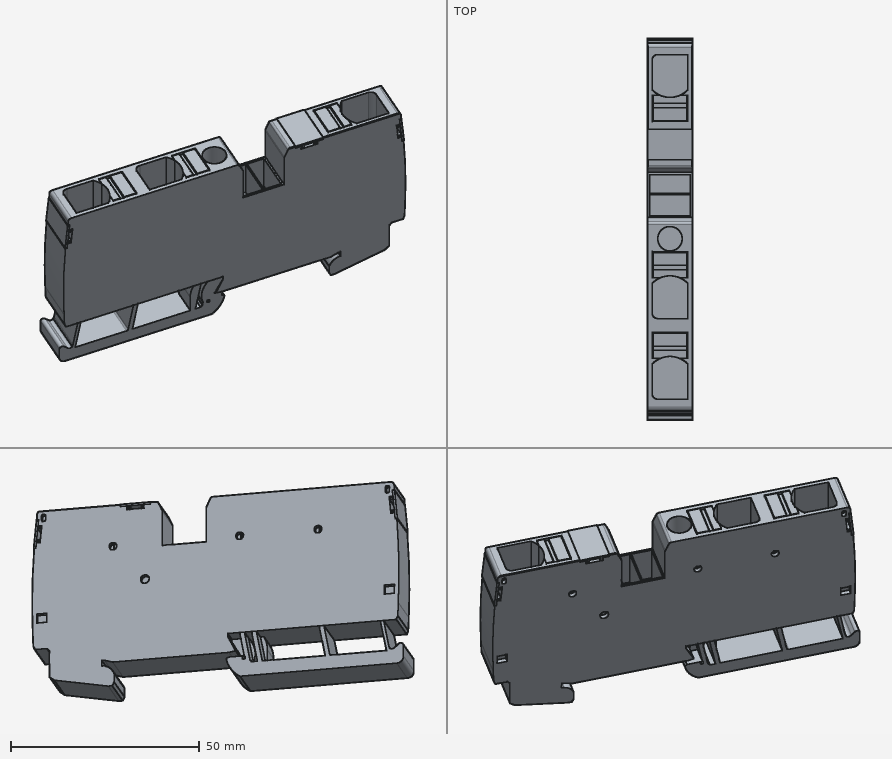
import cadquery as cq
import math


width = 12.0
side_x = -width / 2
height = 51.5
half_length = 50.1
foot_tip_y = half_length - 101.5

deck_z = 12.4
rail_z = 7.0
end_bulge_z = 25.4
end_radius = 217.2
end_low_z = 17.0
end_high_z = 49.4
corner_radius = 1.0
notch_rear_y = 14.5
notch_front_y = 2.5
notch_z = 38.9
shoulder_drop = 2.8
shoulder_run = 1.3
shoulder_radius = 0.8
rear_edge_chamfer = 0.2
nose_root = (-3.3, 11.6)
nose_tip = (-5.5, 7.3)
nose_base = (-3.7, rail_z)

station_pitch = 21.4
stations = [(1, 0), (-1, 0), (-1, station_pitch)]
entry_outer = 45.8
entry_shoulder = 36.4
entry_inner = 34.4
entry_half_width = 4.8
entry_corner = 1.5
entry_depth = 20.3
pusher_pocket_outer = 28.0
pusher_pocket_inner = 34.9
pusher_pocket_half_width = 4.7
pusher_gap = 0.2
pusher_depth = 13.9
pusher_groove_near = 31.7
pusher_groove_width = 1.1
pusher_groove_depth = 0.6

test_hole_y = -3.1
test_hole_diameter = 6.5
test_hole_depth = 12.2
jumper_slots = [(8.9, 13.9), (2.9, 8.5)]
jumper_half_width = 5.4
jumper_depth = 10.1
pusher_hole_diameter = 2.0
pusher_hole_z = 39.8
side_hole_diameter = 2.3
side_hole_y = 19.3
side_hole_z = 29.7
side_hole_depth = 1.3
peg_pocket_y = 47.5
peg_pocket_z = 21.1
peg_pocket_length = 2.7
peg_pocket_height = 2.5
corner_slot_y = 47.0
corner_slot_z = 49.4
corner_slot_length = 2.0
corner_slot_width = 1.1

marker_length = 8.1
marker_thickness = 0.6
marker_slot_length = 4.8
marker_slot_depth = 1.0
marker_leg = 0.5
marker_leg_gap = 0.3
marker_tilt = 5.5
end_marker_y = 49.3
end_marker_z = 45.1
top_marker_y = 21.9

foot_bar_z = 3.9
foot_ledge_z = 5.7
foot_inner_y = -2.9
nose_clearance = 0.4
latch_setback = 4.8
rib_lean = 1.6
relief_diameter = 0.8
relief_y = -7.7
relief_z = 5.2
rib_fillet = 0.5
rib_tops = [(-6.6, -7.9), (-9.8, -11.2), (-28.3, -29.6), (-45.1, -46.0)]


def end_y(z):
    """Half length of the housing at height z on the bulging ends."""
    rise = z - end_bulge_z
    return half_length - end_radius + math.sqrt(end_radius**2 - rise**2)


def side_sketch():
    """Workplane on the side face: local x is Y, local y is Z, extruding into the part."""
    return cq.Workplane("YZ", origin=(side_x, 0, 0))


def box_between(x_half, y_a, y_b, z_low, z_high):
    """Box centred on X = 0 between two Y positions and two heights."""
    return cq.Workplane("XY").box(2 * x_half, abs(y_b - y_a), z_high - z_low).translate(
        (0, (y_a + y_b) / 2, (z_low + z_high) / 2)
    )


def station_y(station, distance):
    """Y of a point at the given distance from the middle, for one clamp station."""
    side, shift = station
    return side * (distance - shift)


def wire_entry(station):
    """Funnel opening with a bowed inner wall and one rounded outer corner."""
    outer = station_y(station, entry_outer)
    outer_round = station_y(station, entry_outer - entry_corner)
    corner_inset = entry_corner * (1 - math.sqrt(0.5))
    outer_mid = station_y(station, entry_outer - corner_inset)
    shoulder = station_y(station, entry_shoulder)
    inner = station_y(station, entry_inner)
    w = entry_half_width
    return (
        cq.Workplane("XY", origin=(0, 0, height - entry_depth))
        .moveTo(w, outer)
        .lineTo(w, shoulder)
        .threePointArc((0, inner), (-w, shoulder))
        .lineTo(-w, outer_round)
        .threePointArc((-w + corner_inset, outer_mid), (-w + entry_corner, outer))
        .close()
        .extrude(entry_depth)
    )


def pusher_pocket(station):
    return box_between(
        pusher_pocket_half_width,
        station_y(station, pusher_pocket_outer),
        station_y(station, pusher_pocket_inner),
        height - pusher_depth,
        height,
    )


def make_pusher(station):
    """Release pusher: grooved on top, hollowed where the wire entry passes."""
    half_width = pusher_pocket_half_width - pusher_gap
    block = box_between(
        half_width,
        station_y(station, pusher_pocket_outer + pusher_gap),
        station_y(station, pusher_pocket_inner),
        height - pusher_depth,
        height,
    )
    groove = box_between(
        half_width,
        station_y(station, pusher_groove_near),
        station_y(station, pusher_groove_near + pusher_groove_width),
        height - pusher_groove_depth,
        height,
    )
    return block.cut(groove).cut(wire_entry(station))


def place_end_marker(body, side):
    """Turn a strip lying on the top level so that it lies on the end at the given side."""
    turned = body.rotate((0, 0, 0), (1, 0, 0), -side * (90 - marker_tilt))
    return turned.translate((0, side * end_marker_y, end_marker_z))


def place_top_marker(body):
    return body.translate((0, top_marker_y, height))


def marker_recess():
    """Seat for one strip, outer face at Z = 0: shallow recess with a narrower slot below."""
    recess = box_between(width / 2, -marker_length / 2, marker_length / 2, -marker_thickness, 0)
    slot_bottom = -marker_thickness - marker_slot_depth
    slot = box_between(width / 2, -marker_slot_length / 2, marker_slot_length / 2, slot_bottom, 0)
    return recess.union(slot)


def make_marker():
    """Marker strip, outer face at Z = 0, with two legs reaching into its slot."""
    body = box_between(width / 2, -marker_length / 2, marker_length / 2, -marker_thickness, 0)
    leg_outer = marker_slot_length / 2 - marker_leg_gap
    leg_bottom = -marker_thickness - marker_slot_depth
    for side in (1, -1):
        leg = box_between(width / 2, side * leg_outer, side * (leg_outer - marker_leg), leg_bottom, 0)
        body = body.union(leg)
    return body


def housing_blank():
    """Side outline of the housing with the rail hook at the rear and the latch nose in front."""
    top_corner_y = end_y(end_high_z) - corner_radius
    return (
        side_sketch()
        .moveTo(-49.4, deck_z)
        .lineTo(-49.8, deck_z + 1.0)
        .lineTo(-end_y(end_low_z), end_low_z)
        .threePointArc((-half_length, end_bulge_z), (-end_y(end_high_z), end_high_z))
        .lineTo(-end_y(end_high_z), height - corner_radius)
        .radiusArc((-top_corner_y, height), corner_radius)
        .lineTo(notch_front_y - shoulder_run, height)
        .lineTo(notch_front_y, height - shoulder_drop)
        .lineTo(notch_front_y, notch_z)
        .lineTo(notch_rear_y, notch_z)
        .lineTo(notch_rear_y, height - shoulder_drop)
        .lineTo(notch_rear_y + shoulder_run, height)
        .lineTo(top_corner_y, height)
        .radiusArc((end_y(end_high_z), height - corner_radius), corner_radius)
        .lineTo(end_y(end_high_z), end_high_z)
        .threePointArc((half_length, end_bulge_z), (end_y(end_low_z), end_low_z))
        .lineTo(49.8, deck_z + 1.0)
        .lineTo(49.4, deck_z)
        .lineTo(46.1, deck_z)
        .lineTo(45.4, deck_z - 0.7)
        .lineTo(45.4, 4.3)
        .lineTo(44.0, 3.2)
        .lineTo(29.3, 0.3)
        .lineTo(28.2, 0.3)
        .lineTo(27.7, 1.3)
        .lineTo(27.7, 3.8)
        .threePointArc((28.6, 5.2), (30.4, 6.2))
        .lineTo(31.1, 6.2)
        .lineTo(31.1, 7.7)
        .lineTo(30.3, 7.7)
        .lineTo(28.1, rail_z)
        .lineTo(*nose_base)
        .lineTo(*nose_tip)
        .lineTo(*nose_root)
        .lineTo(nose_root[0], deck_z)
        .close()
        .extrude(width)
    )


def edges_near(body, y, z):
    """The edges along X that pass close to the given point of the side outline."""
    reach = 0.2
    low = (side_x - 1, y - reach, z - reach)
    high = (width, y + reach, z + reach)
    return body.edges("|X").edges(cq.selectors.BoxSelector(low, high))


def soften_notch(body):
    """Round the upper and lower edges of the bevels beside the notch."""
    for edge_y, outward in ((notch_rear_y, 1), (notch_front_y, -1)):
        body = edges_near(body, edge_y + outward * shoulder_run, height).fillet(shoulder_radius)
        body = edges_near(body, edge_y, height - shoulder_drop).fillet(shoulder_radius)
    return body


def rear_edge_bevel(side):
    """Wedge that breaks one long top edge of the rear block, on the given side of X = 0."""
    edge_x = side * width / 2
    length = half_length - notch_rear_y
    return (
        cq.Workplane("XZ", origin=(0, half_length, 0))
        .moveTo(edge_x, height)
        .lineTo(edge_x, height - rear_edge_chamfer)
        .lineTo(edge_x - side * rear_edge_chamfer, height)
        .close()
        .extrude(length)
    )


def side_holes():
    """Blind openings in the side face."""
    wall = width / 2 - pusher_pocket_half_width
    pusher_points = [(station_y(station, pusher_pocket_outer), pusher_hole_z) for station in stations]
    pusher_holes = side_sketch().pushPoints(pusher_points).circle(pusher_hole_diameter / 2).extrude(wall)
    round_hole = (
        side_sketch().center(side_hole_y, side_hole_z).circle(side_hole_diameter / 2).extrude(side_hole_depth)
    )
    peg_pockets = (
        side_sketch()
        .pushPoints([(side * peg_pocket_y, peg_pocket_z) for side in (1, -1)])
        .rect(peg_pocket_length, peg_pocket_height)
        .extrude(side_hole_depth)
    )
    corner_slots = (
        side_sketch()
        .pushPoints([(side * corner_slot_y, corner_slot_z) for side in (1, -1)])
        .slot2D(corner_slot_length, corner_slot_width, 90)
        .extrude(side_hole_depth)
    )
    return [pusher_holes, round_hole, peg_pockets, corner_slots]


def make_housing():
    body = soften_notch(housing_blank())
    for side in (1, -1):
        body = body.cut(rear_edge_bevel(side))
    for station in stations:
        body = body.cut(wire_entry(station)).cut(pusher_pocket(station))
    for y_from, y_to in jumper_slots:
        body = body.cut(box_between(jumper_half_width, y_from, y_to, notch_z - jumper_depth, notch_z))
    test_hole = (
        cq.Workplane("XY", origin=(0, test_hole_y, height - test_hole_depth))
        .circle(test_hole_diameter / 2)
        .extrude(test_hole_depth)
    )
    body = body.cut(test_hole)
    for opening in side_holes():
        body = body.cut(opening)
    for side in (1, -1):
        body = body.cut(place_end_marker(marker_recess(), side))
    return body.cut(place_top_marker(marker_recess()))


def foot_bar():
    """Lower bar: rounded toe towards the rail, upturned grip at the far end."""
    return (
        side_sketch()
        .moveTo(-6.7, 0)
        .threePointArc((-4.4, 2.0), (foot_inner_y, 5.3))
        .lineTo(foot_inner_y - 0.6, foot_ledge_z)
        .lineTo(-8.3, foot_ledge_z)
        .lineTo(-9.9, foot_bar_z)
        .lineTo(-47.2, foot_bar_z)
        .lineTo(-47.2, 5.5)
        .lineTo(-47.6, 4.5)
        .threePointArc((-48.3, 4.2), (-49.0, 4.6))
        .lineTo(-49.9, 5.4)
        .threePointArc((-50.7, 5.7), (foot_tip_y, 5.1))
        .lineTo(foot_tip_y, 1.8)
        .threePointArc((-50.8, 0.5), (-49.5, 0))
        .close()
        .extrude(width)
    )


def foot_rib(top_inner, top_outer):
    """Leaning spring rib between the lower bar and the housing."""
    return (
        side_sketch()
        .polyline(
            [
                (top_inner, deck_z),
                (top_outer, deck_z),
                (top_outer - rib_lean, foot_bar_z),
                (top_inner - rib_lean, foot_bar_z),
            ]
        )
        .close()
        .extrude(width)
    )


def latch_block():
    """Block behind the latch nose, set back from the side face, with a bowed outer wall."""
    return (
        side_sketch()
        .workplane(offset=latch_setback)
        .moveTo(nose_root[0], deck_z)
        .lineTo(*nose_root)
        .lineTo(nose_tip[0] - nose_clearance, nose_tip[1])
        .lineTo(*nose_tip)
        .lineTo(*nose_base)
        .lineTo(nose_base[0], 5.1)
        .lineTo(-9.1, 5.1)
        .threePointArc((-9.6, 8.6), (-7.9, deck_z))
        .close()
        .extrude(width - latch_setback)
    )


def rear_web():
    """Bowed web behind the second rib, set back from the side face."""
    return (
        side_sketch()
        .workplane(offset=latch_setback)
        .moveTo(-10.7, deck_z)
        .lineTo(-11.5, foot_bar_z)
        .lineTo(-13.0, foot_bar_z)
        .lineTo(-13.0, 8.6)
        .threePointArc((-12.8, 10.7), (-12.1, deck_z))
        .close()
        .extrude(width - latch_setback)
    )


def make_foot():
    body = foot_bar().union(latch_block()).union(rear_web())
    for top_inner, top_outer in rib_tops:
        body = body.union(foot_rib(top_inner, top_outer))
    relief = side_sketch().center(relief_y, relief_z).circle(relief_diameter / 2).extrude(width)
    body = body.cut(relief)
    _, root_y = rib_tops[2]
    return edges_near(body, root_y - rib_lean, foot_bar_z).fillet(rib_fillet)


housing = make_housing()
foot = make_foot()
pushers = [make_pusher(station) for station in stations]
end_markers = [place_end_marker(make_marker(), side) for side in (1, -1)]
top_marker = place_top_marker(make_marker())

bodies = [housing, foot, *pushers, *end_markers, top_marker]
result = cq.Compound.makeCompound([solid for body in bodies for solid in body.solids().vals()])